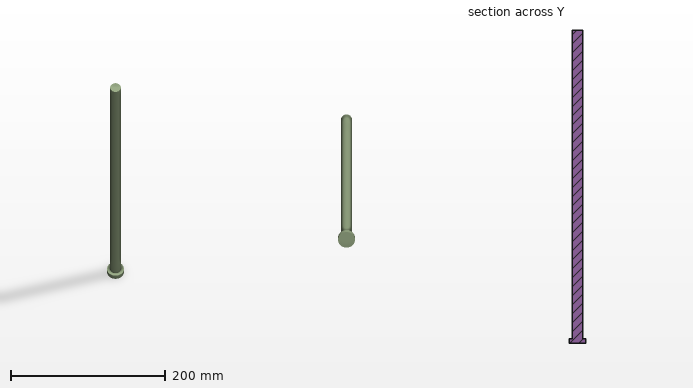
import cadquery as cq

total_length = 407.0
head_diameter = 22.0
head_thickness = 7.0
shoulder_width = 4.0
shank_diameter = head_diameter - 2 * shoulder_width

head = cq.Workplane("XY").circle(head_diameter / 2).extrude(head_thickness)
shank = cq.Workplane("XY").circle(shank_diameter / 2).extrude(total_length)

result = head.union(shank)